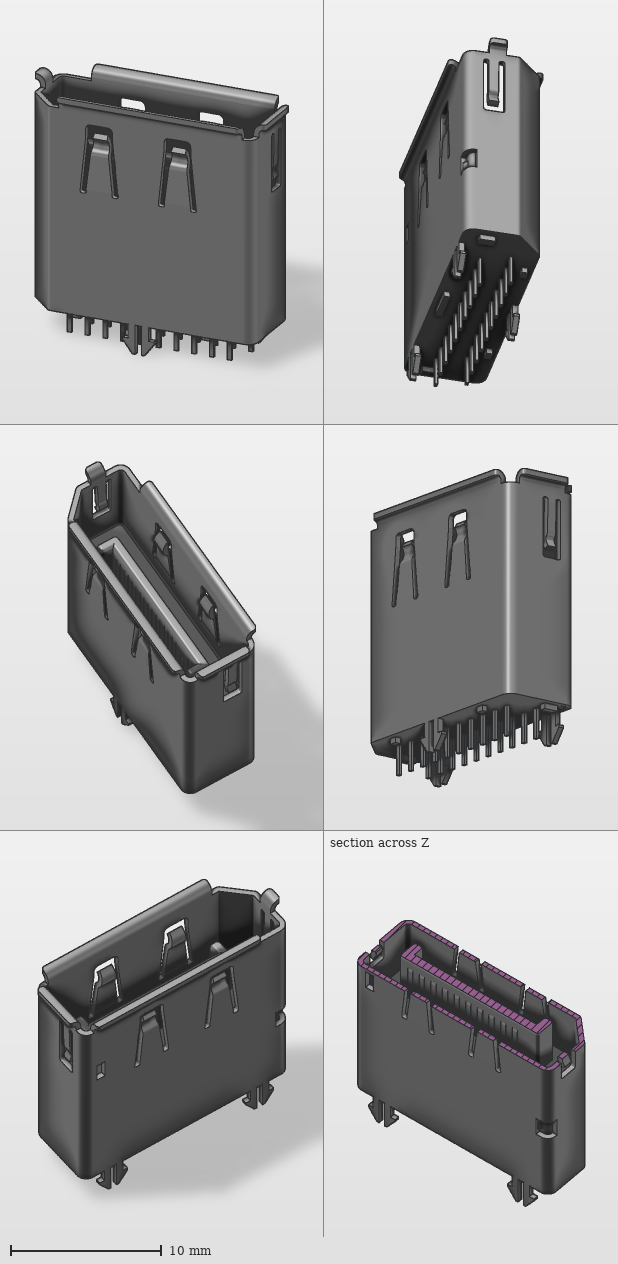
import cadquery as cq
import math


shell_length = 16.87
shell_depth = 5.6
shell_height = 14.67
sheet = 0.4
half_length = shell_length / 2
half_depth = shell_depth / 2
cavity_half_length = half_length - sheet
cavity_half_depth = half_depth - sheet
corner_radius = 0.73
key_leg = 1.87
key_bend_radius = 0.43

lip_bend_radius = 0.32
lip_rise = 0.21
lip_corner_radius = 0.27
side_lip_reach = 0.46
long_lip_reach = 0.45
lip_top_z = shell_height + lip_rise + lip_bend_radius + sheet
long_lip_span = (-5.84, 7.58)
key_side_lip_span = (-0.04, 1.14)
plain_side_lip_span = (-1.92, 1.92)


finger_x = 2.87
finger_root_z = 9.15
finger_tip_z = 13.17
finger_root_width = 1.9
finger_tip_width = 0.98
window_bottom_z = 8.86
window_straight_z = 12.94
window_top_z = 13.83
window_bottom_width = 2.81
window_top_width = 1.95
window_corner_radius = 0.37
window_foot_radius = 0.15
finger_strip = [("line", 2.45), ("bend", 0.5, 43), ("bend", 0.59, -100)]
finger_lean = 1.6

side_window_y = (0.07, 1.53)
side_window_z = (9.93, 14.1)
side_window_radius = 0.18
side_finger_y = (0.48, 1.15)
side_finger_root_z = 13.78
side_finger_strip = [("line", 2.01), ("bend", 0.52, 38), ("bend", 0.27, -66), ("line", 0.45)]

notch_z = (5.13, 6.55)
notch_depth = 0.82
notch_length = 1.14
rear_window_x = (6.7, 7.37)
rear_window_z = (9.7, 11.12)

leg_drop = 2.08
leg_half_width = 0.75
leg_slit = 0.46
barb_half_width = 1.14
barb_top_z = -0.98
barb_edge = 0.18
leg_tip_half_width = 0.43
rear_leg_x = 5.98

base_top_z = 8.01
base_bevel = 0.27
base_corner_radius = 0.55

lug_z = (5.54, 6.12)
lug_ramp_x = (-7.65, -7.33)
lug_foot_y = 2.31
lug_face_y = 2.69

pad_height = 0.4
pad_embed = 0.18
pads = [
    ((-7.94, -7.44), (0.6, 1.67)),
    ((7.44, 7.94), (0.6, 1.67)),
    ((-5.0, -4.43), (-2.37, -1.98)),
    ((4.43, 5.0), (-2.37, -1.98)),
    ((-1.1, 1.1), (1.98, 2.37)),
]

tongue_top_z = 11.52
tongue_x = (-5.52, 6.5)
bar_y = (-0.4, 0.4)
tongue_arm_width = 0.8
tongue_arm_end_y = -1.26
tongue_edge_radius = 0.25
tongue_top_radius = 0.3

contacts_per_row = 10
contact_row_length = 9.0
contact_pitch = contact_row_length / (contacts_per_row - 1)
contact_width = 0.45
contact_proud = 0.05
contact_top_z = 10.7
contact_bevel = 0.18
front_contact_start_x = -4.0
rear_contact_start_x = -3.5
short_contact = 8
short_contact_top_z = 9.72

tail_count = 20
tail_row_length = 12.35
tail_pitch = tail_row_length / (tail_count - 1)
tail_start_x = -5.84
tail_width = 0.3
tail_thickness = 0.2
tail_row_y = 0.98
tail_embed = 0.35


def block(x, y, z):
    """Box between the given (low, high) pairs."""
    size = (x[1] - x[0], y[1] - y[0], z[1] - z[0])
    return cq.Workplane("XY").box(*size, centered=False).translate((x[0], y[0], z[0]))


def shell_prism(inset, bottom, top):
    """Solid filling the shell outline, shrunk by `inset`."""
    x = half_length - inset
    y = half_depth - inset
    leg = key_leg - inset * (2 - math.sqrt(2))
    corners = [(-x, y), (x, y), (x, -y), (leg - x, -y), (-x, leg - y)]
    plan = cq.Workplane("XY").workplane(offset=bottom).polyline(corners).close().extrude(top - bottom)
    plan = plan.faces(">X").edges("|Z").fillet(corner_radius - inset)
    plan = plan.faces("<X").edges("|Z").edges(">Y").fillet(corner_radius - inset)
    key_zone = cq.selectors.BoxSelector((-x - 0.18, -y - 0.18, bottom), (leg - x + 0.18, leg - y + 0.18, top))
    return plan.edges("|Z").edges(key_zone).fillet(key_bend_radius - inset)


def bent_strip(plane, start, heading, moves, low, high):
    """Sheet strip bent in the given plane and extruded from `low` to `high` across it.

    One face of the strip starts at `start`; the sheet lies on the right of the heading.
    A bend is given by the radius of that face and its angle, positive when turning right.
    """
    angle = math.radians(heading)
    face = cq.Vector(*start)
    pieces = []

    def to_right(point, distance):
        return point + cq.Vector(math.sin(angle), -math.cos(angle)) * distance

    for move in moves:
        back = to_right(face, sheet)
        piece = cq.Workplane(plane).workplane(offset=low).moveTo(face.x, face.y)
        if move[0] == "line":
            face += cq.Vector(math.cos(angle), math.sin(angle)) * move[1]
            end_back = to_right(face, sheet)
            piece = piece.lineTo(face.x, face.y).lineTo(end_back.x, end_back.y).lineTo(back.x, back.y)
        else:
            _, bend_radius, turn = move
            radius = math.copysign(bend_radius, turn)
            centre = to_right(face, radius)
            angle -= math.radians(turn) / 2
            face_middle = to_right(centre, -radius)
            back_middle = to_right(face_middle, sheet)
            angle -= math.radians(turn) / 2
            face = to_right(centre, -radius)
            end_back = to_right(face, sheet)
            piece = piece.threePointArc(face_middle.toTuple()[:2], face.toTuple()[:2])
            piece = piece.lineTo(end_back.x, end_back.y)
            piece = piece.threePointArc(back_middle.toTuple()[:2], back.toTuple()[:2])
        pieces.append(piece.close().extrude(high - low))
    strip = pieces[0]
    for piece in pieces[1:]:
        strip = strip.union(piece)
    return strip


def front_wall_prism(points, depth):
    """Outline in X and Z, extruded inward from the outer face of the front wall."""
    return cq.Workplane("XZ", origin=(0, -half_depth, 0)).polyline(points).close().extrude(-depth)


def in_both_walls(shape, plane):
    """The shape and its mirror image on the opposite wall."""
    return shape.union(shape.mirror(plane))


def front_lip():
    """Flared lip above the front wall."""
    moves = [("line", lip_rise), ("bend", lip_bend_radius, -90), ("line", long_lip_reach - lip_bend_radius)]
    strip = bent_strip("YZ", (-half_depth, shell_height), 90, moves, *long_lip_span)
    rim = block(long_lip_span, (-half_depth - long_lip_reach, 0), (shell_height, lip_top_z))
    return strip.intersect(rim.edges("|Z and <Y").fillet(lip_corner_radius))


def side_lip(y_span):
    """Flared lip above the keyed end wall at -X."""
    moves = [("line", lip_rise), ("bend", lip_bend_radius, -90), ("line", side_lip_reach - lip_bend_radius)]
    strip = bent_strip("XZ", (-half_length, shell_height), 90, moves, -y_span[1], -y_span[0])
    rim = block((-half_length - side_lip_reach, 0), y_span, (shell_height, lip_top_z))
    return strip.intersect(rim.edges("|Z and <X").fillet(lip_corner_radius))


def front_window():
    """Cutter for the tapered window around a front finger at X = 0, ending in two feet."""
    top = window_top_width / 2
    foot = window_bottom_width / 2
    root = finger_root_width / 2
    points = [
        (-foot, window_bottom_z),
        (-top, window_straight_z),
        (-top, window_top_z),
        (top, window_top_z),
        (top, window_straight_z),
        (foot, window_bottom_z),
        (root, window_bottom_z),
        (root, finger_root_z),
        (-root, finger_root_z),
        (-root, window_bottom_z),
    ]
    window = front_wall_prism(points, sheet)
    window = window.edges("|Y and >Z").fillet(window_corner_radius)
    return window.faces("<Z").edges("|Y").fillet(window_foot_radius)


def front_finger():
    """Tapered spring finger of the front wall at X = 0, bowed into the cavity."""
    root = finger_root_width / 2
    tip = finger_tip_width / 2
    taper = [(-root, finger_root_z), (-tip, finger_tip_z), (tip, finger_tip_z), (root, finger_root_z)]
    start = (-half_depth, finger_root_z)
    strip = bent_strip("YZ", start, 90 - finger_lean, finger_strip, -root, root)
    return strip.intersect(front_wall_prism(taper, half_depth))


def side_window():
    """Cutter for the window around the finger of the end wall at +X."""
    window = block((half_length - sheet, half_length), side_window_y, side_window_z)
    finger_root = block((0, half_length), side_finger_y, (side_finger_root_z, shell_height))
    window = window.edges("|X and <Z").fillet(side_window_radius).cut(finger_root)
    return window.faces(">Z").edges("|X").fillet(side_window_radius)


def side_finger():
    """Spring finger of the end wall at +X, hanging down and bowed into the cavity."""
    start = (half_length, side_finger_root_z)
    low, high = side_finger_y
    return bent_strip("XZ", start, -90 - finger_lean, side_finger_strip, -high, -low)


def snap_leg(x):
    """Split barbed leg below the front wall."""
    half_slit = leg_slit / 2
    half = [
        (half_slit, 0),
        (leg_half_width, 0),
        (leg_half_width, barb_top_z),
        (barb_half_width, barb_top_z),
        (barb_half_width, barb_top_z - barb_edge),
        (leg_tip_half_width, -leg_drop),
        (half_slit, -leg_drop),
    ]
    prong = front_wall_prism(half, sheet)
    return in_both_walls(prong, "YZ").translate((x, 0, 0))


def build_shell():
    """Sheet shell with its lips, spring fingers, openings and snap-in legs."""
    shell = shell_prism(0, 0, shell_height).cut(shell_prism(sheet, 0, shell_height))
    lips = in_both_walls(front_lip(), "XZ")
    lips = lips.union(side_lip(key_side_lip_span)).union(side_lip(plain_side_lip_span).mirror("YZ"))
    shell = shell.union(lips)

    windows = in_both_walls(side_window(), "YZ")
    fingers = in_both_walls(side_finger(), "YZ")
    for x in (-finger_x, finger_x):
        windows = windows.union(in_both_walls(front_window(), "XZ").translate((x, 0, 0)))
        fingers = fingers.union(in_both_walls(front_finger(), "XZ").translate((x, 0, 0)))
    shell = shell.cut(windows).union(fingers)

    notch_x = (-half_length, notch_length - half_length)
    shell = shell.cut(block(notch_x, (half_depth - notch_depth, half_depth), notch_z))
    shell = shell.cut(block(rear_window_x, (half_depth - sheet, half_depth), rear_window_z))

    shell = shell.union(snap_leg(0))
    for x in (-rear_leg_x, rear_leg_x):
        shell = shell.union(snap_leg(x).mirror("XZ"))
    return shell


def locating_lug():
    """Ramped lug of the base, standing out through the notch in the shell."""
    root_y = cavity_half_depth - base_corner_radius
    plan = [
        (lug_ramp_x[0], root_y),
        (lug_ramp_x[0], lug_foot_y),
        (lug_ramp_x[1], lug_face_y),
        (lug_ramp_x[1], root_y),
    ]
    lug = cq.Workplane("XY").polyline(plan).close().extrude(lug_z[1] - lug_z[0])
    return lug.translate((0, 0, lug_z[0]))


def build_base():
    """Plastic base filling the bottom of the shell, with its stand-off pads."""
    x_span = (-cavity_half_length, cavity_half_length)
    y_span = (-cavity_half_depth, cavity_half_depth)
    base = block(x_span, y_span, (0, base_top_z))
    base = base.edges("|Z and >Y").fillet(base_corner_radius)
    base = base.faces(">Z").edges().chamfer(base_bevel)
    base = base.intersect(shell_prism(sheet, 0, base_top_z))
    base = base.union(locating_lug())
    for x, y in pads:
        base = base.union(block(x, y, (-pad_height, pad_embed)))
    return base


def build_tongue():
    """U-shaped tongue with rounded ends and top."""
    z = (base_top_z, tongue_top_z)
    tongue = block(tongue_x, bar_y, z)
    arm_y = (tongue_arm_end_y, bar_y[1])
    tongue = tongue.union(block((tongue_x[0], tongue_x[0] + tongue_arm_width), arm_y, z))
    tongue = tongue.union(block((tongue_x[1] - tongue_arm_width, tongue_x[1]), arm_y, z))
    for end in ("<Y", ">Y"):
        tongue = tongue.faces(end).edges("|Z").fillet(tongue_edge_radius)
    return tongue.faces(">Z").edges().fillet(tongue_top_radius)


def contact(x, wall_y, outward, top):
    """Bevelled contact strip lying on a tongue face; `outward` is the sign of its normal."""
    tip_y = wall_y + outward * contact_proud
    side = [
        (wall_y, base_top_z),
        (tip_y, base_top_z),
        (tip_y, top - contact_bevel),
        (wall_y, top),
    ]
    strip = cq.Workplane("YZ").polyline(side).close().extrude(contact_width / 2, both=True)
    return strip.translate((x, 0, 0))


def add_contacts(body):
    """Contact rows on the front and rear faces of the tongue."""
    for index in range(contacts_per_row):
        step = index * contact_pitch
        top = short_contact_top_z if index == short_contact else contact_top_z
        body = body.union(contact(front_contact_start_x + step, bar_y[0], -1, top))
        body = body.union(contact(rear_contact_start_x + step, bar_y[1], 1, contact_top_z))
    return body


def add_tails(body):
    """Solder tails below the base, alternating between two rows."""
    for index in range(tail_count):
        x = tail_start_x + index * tail_pitch
        y = tail_row_y if index % 2 else -tail_row_y
        tail_x = (x - tail_width / 2, x + tail_width / 2)
        tail_y = (y - tail_thickness / 2, y + tail_thickness / 2)
        body = body.union(block(tail_x, tail_y, (-leg_drop, tail_embed)))
    return body


insulator = add_tails(add_contacts(build_base().union(build_tongue())))
result = build_shell().union(insulator)